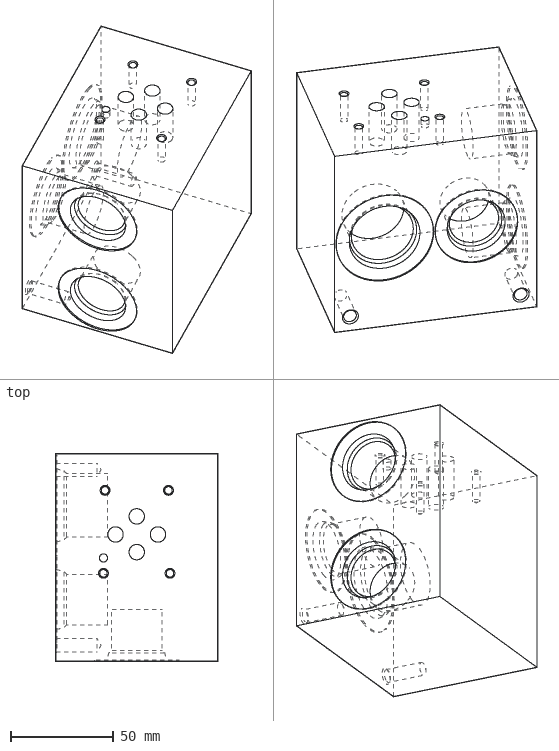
import cadquery as cq
import math

BLOCK_X = 79.3
BLOCK_Y = 101.6
BLOCK_Z = 101.6
FRONT_Y = -BLOCK_Y / 2
LEFT_X = -BLOCK_X / 2
TOP_Z = BLOCK_Z / 2

SMALL_SPOTFACE_DIAMETER = 41.5
SMALL_MOUTH_DIAMETER = 29.2
SMALL_BORE_DIAMETER = 24.7
LARGE_SPOTFACE_DIAMETER = 49.0
LARGE_MOUTH_DIAMETER = 35.6
LARGE_BORE_DIAMETER = 31.1
SPOTFACE_DEPTH = 0.8
SEAL_CONE_DEPTH = 3.3
SEAL_CONE_ANGLE = 15.0
PORT_DEPTH = 25.4

FRONT_PORT_SPACING = 57.0
LARGE_PORT_Y = 25.5
SMALL_PORT_Y = -20.5

MOUNT_EDGE_DISTANCE = 7.9
MOUNT_DRILL_DIAMETER = 6.4
MOUNT_MOUTH_DIAMETER = 8.0
MOUNT_DEPTH = 20.3

REAR_SCREW_Y = 32.8
REAR_SCREW_SPACING = 31.0
FRONT_SCREW_SPACING = 32.5
SCREW_ROW_DISTANCE = 40.5
SCREW_DRILL_DIAMETER = 3.7
SCREW_MOUTH_DIAMETER = 4.8
SCREW_DEPTH = 15.2

PASSAGE_DIAMETER = 7.5
PASSAGE_DEPTH = 20.3
REAR_PASSAGE_DISTANCE = 12.7
SIDE_PASSAGE_DISTANCE = 21.5
FRONT_PASSAGE_DISTANCE = 30.2
SIDE_PASSAGE_SPACING = 20.7

LOCATOR_DIAMETER = 4.0
LOCATOR_DEPTH = 4.1
LOCATOR_DISTANCE = 33.0

DRILL_POINT_ANGLE = 118.0

INTO_FRONT = (0, 1, 0)
INTO_LEFT = (1, 0, 0)
INTO_TOP = (0, 0, -1)


def turned_cutter(profile, place, direction):
    """Revolve (radius, depth) points about the hole axis and aim the tool into the block."""
    plane = cq.Plane(origin=place, normal=direction)
    outline = [(0, 0)] + profile
    tool = cq.Workplane("XZ").polyline(outline).close().revolve(360, (0, 0, 0), (0, 1, 0))
    return cq.Workplane(obj=tool.val().moved(cq.Location(plane)))


def port_cutter(spotface_diameter, mouth_diameter, bore_diameter, place, direction):
    spotface_radius = spotface_diameter / 2
    mouth_radius = mouth_diameter / 2
    bore_radius = bore_diameter / 2
    cone_end_depth = SPOTFACE_DEPTH + SEAL_CONE_DEPTH
    cone_end_radius = mouth_radius - SEAL_CONE_DEPTH * math.tan(math.radians(SEAL_CONE_ANGLE))
    lead_in_end_depth = cone_end_depth + cone_end_radius - bore_radius
    profile = [
        (spotface_radius, 0),
        (spotface_radius, SPOTFACE_DEPTH),
        (mouth_radius, SPOTFACE_DEPTH),
        (cone_end_radius, cone_end_depth),
        (bore_radius, lead_in_end_depth),
        (bore_radius, PORT_DEPTH),
        (0, PORT_DEPTH),
    ]
    return turned_cutter(profile, place, direction)


def small_port(place, direction):
    return port_cutter(SMALL_SPOTFACE_DIAMETER, SMALL_MOUTH_DIAMETER, SMALL_BORE_DIAMETER, place, direction)


def large_port(place, direction):
    return port_cutter(LARGE_SPOTFACE_DIAMETER, LARGE_MOUTH_DIAMETER, LARGE_BORE_DIAMETER, place, direction)


def tapped_hole(drill_diameter, mouth_diameter, depth, place, direction):
    """Drilled hole with a 45 degree countersink at its mouth and a conical drill point."""
    drill_radius = drill_diameter / 2
    mouth_radius = mouth_diameter / 2
    point_length = drill_radius / math.tan(math.radians(DRILL_POINT_ANGLE / 2))
    profile = [
        (mouth_radius, 0),
        (drill_radius, mouth_radius - drill_radius),
        (drill_radius, depth),
        (0, depth + point_length),
    ]
    return turned_cutter(profile, place, direction)


def plain_hole(diameter, depth, place, direction):
    radius = diameter / 2
    return turned_cutter([(radius, 0), (radius, depth), (0, depth)], place, direction)


block = cq.Workplane("XY").box(BLOCK_X, BLOCK_Y, BLOCK_Z)

for side in (-1, 1):
    block = block.cut(small_port((0, FRONT_Y, side * FRONT_PORT_SPACING / 2), INTO_FRONT))

block = block.cut(large_port((LEFT_X, LARGE_PORT_Y, 0), INTO_LEFT))
block = block.cut(small_port((LEFT_X, SMALL_PORT_Y, 0), INTO_LEFT))

for side in (-1, 1):
    place = (LEFT_X, side * (BLOCK_Y / 2 - MOUNT_EDGE_DISTANCE), MOUNT_EDGE_DISTANCE - BLOCK_Z / 2)
    block = block.cut(tapped_hole(MOUNT_DRILL_DIAMETER, MOUNT_MOUTH_DIAMETER, MOUNT_DEPTH, place, INTO_LEFT))

screw_rows = [
    (REAR_SCREW_SPACING, REAR_SCREW_Y),
    (FRONT_SCREW_SPACING, REAR_SCREW_Y - SCREW_ROW_DISTANCE),
]
for spacing, row_y in screw_rows:
    for side in (-1, 1):
        place = (side * spacing / 2, row_y, TOP_Z)
        block = block.cut(tapped_hole(SCREW_DRILL_DIAMETER, SCREW_MOUTH_DIAMETER, SCREW_DEPTH, place, INTO_TOP))

passages = [
    (0, REAR_PASSAGE_DISTANCE),
    (-SIDE_PASSAGE_SPACING / 2, SIDE_PASSAGE_DISTANCE),
    (SIDE_PASSAGE_SPACING / 2, SIDE_PASSAGE_DISTANCE),
    (0, FRONT_PASSAGE_DISTANCE),
]
for passage_x, distance in passages:
    place = (passage_x, REAR_SCREW_Y - distance, TOP_Z)
    block = block.cut(plain_hole(PASSAGE_DIAMETER, PASSAGE_DEPTH, place, INTO_TOP))

locator_place = (-FRONT_SCREW_SPACING / 2, REAR_SCREW_Y - LOCATOR_DISTANCE, TOP_Z)
result = block.cut(plain_hole(LOCATOR_DIAMETER, LOCATOR_DEPTH, locator_place, INTO_TOP))